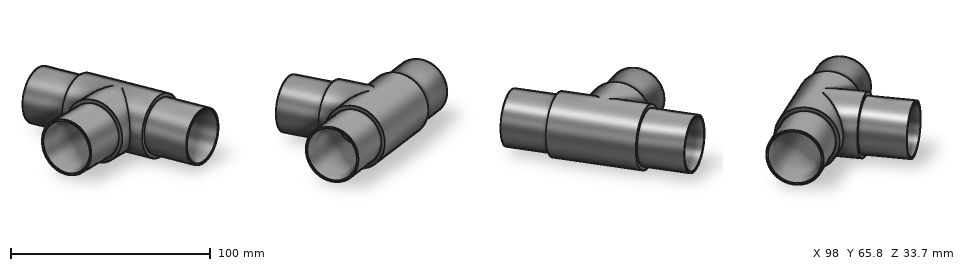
import cadquery as cq

body_diameter = 33.7
spigot_diameter = 29.7
wall_thickness = 1.0
body_reach = 24.0
spigot_length = 25.0

bore_diameter = spigot_diameter - 2 * wall_thickness
arm_reach = body_reach + spigot_length


def run_along_x(diameter, reach):
    """Cylinder along X, centred on the axis crossing."""
    return cq.Workplane("YZ").circle(diameter / 2).extrude(reach, both=True)


def tee(diameter, reach):
    """Straight run along X joined by an equal branch toward -Y."""
    branch = cq.Workplane("XZ").circle(diameter / 2).extrude(reach)
    return run_along_x(diameter, reach).union(branch)


body = tee(body_diameter, body_reach)
spigots = tee(spigot_diameter, arm_reach)
bore = tee(bore_diameter, arm_reach)

result = body.union(spigots).cut(bore)